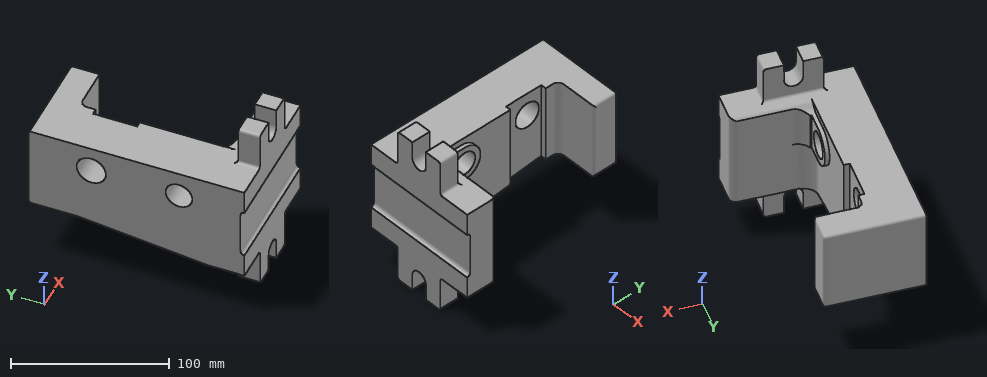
import cadquery as cq
import math

WIDTH = 90.0
LENGTH = 148.0
BODY_HEIGHT = 70.3
TIP_HEIGHT = 60.4
TAPER_START_Y = 25.2
TAPER_END_Y = 114.3
TOP_Z = BODY_HEIGHT / 2
BOTTOM_Z = -BODY_HEIGHT / 2
WALL = 35.2
ARM_REACH = 68.2
ARM_THICKNESS = 20.1
ARM_ROOT_RADIUS = 5.0
ARM_EDGE_RADIUS = 2.0
FOOT_THICKNESS = 25.2
FOOT_ROOT_RADIUS = 10.5
FOOT_END_RADIUS = 4.9

RELIEF_DEPTH = 4.1
RELIEF_START_Y = 86.9
RELIEF_END_Y = 116.9

HOLE_Z = 16.9
NEAR_HOLE_Y = 44.8
NEAR_HOLE_DIAMETER = 18.2
FAR_HOLE_Y = 105.0
FAR_HOLE_DIAMETER = 20.0

PAD_RADIUS = 13.6
PAD_HEIGHT = 3.1
PAD_TOP_Z = HOLE_Z + PAD_RADIUS
PAD_START_Y = NEAR_HOLE_Y - PAD_RADIUS
RAMP_ANGLE = math.radians(42)
CREST_RADIUS = 3.8
VALLEY_RADIUS = 7.5

TANG_SPAN = 125.0
TANG_WIDTH = 40.0
TANG_THICKNESS = 15.0
TANG_CORNER_RADIUS = 2.0
TANG_ROOT_RADIUS = 2.0
SLOT_WIDTH = 12.6
SLOT_DEPTH = 19.2

CHANNEL_WIDTH = 36.0
CHANNEL_DEPTH = 2.7
CHANNEL_RADIUS = 3.0

SELECT_MARGIN = 0.1


def extrude_x(outline, start_x, end_x):
    """Extrude a closed (Y, Z) outline from start_x to end_x."""
    return outline.extrude(end_x - start_x).translate((start_x, 0, 0))


def make_body():
    """Plan outline through the full height, trimmed to the tapered side outline."""
    arm_inner_y = LENGTH - ARM_THICKNESS
    plan = (
        cq.Workplane("XY")
        .polyline([
            (0, 0),
            (WIDTH, 0),
            (WIDTH, FOOT_THICKNESS),
            (WALL, FOOT_THICKNESS),
            (WALL, arm_inner_y),
            (ARM_REACH, arm_inner_y),
            (ARM_REACH, LENGTH),
            (0, LENGTH),
        ])
        .close()
        .extrude(BODY_HEIGHT)
        .translate((0, 0, BOTTOM_Z))
    )
    plan = round_upright_edge(plan, WIDTH, FOOT_THICKNESS, FOOT_END_RADIUS)
    plan = round_upright_edge(plan, WALL, FOOT_THICKNESS, FOOT_ROOT_RADIUS)
    plan = round_upright_edge(plan, WALL, arm_inner_y, ARM_ROOT_RADIUS)

    tip_bottom_z = TOP_Z - TIP_HEIGHT
    side = cq.Workplane("YZ").polyline([
        (0, TOP_Z),
        (LENGTH, TOP_Z),
        (LENGTH, tip_bottom_z),
        (TAPER_END_Y, tip_bottom_z),
        (TAPER_START_Y, BOTTOM_Z),
        (0, BOTTOM_Z),
    ]).close()
    body = plan.intersect(extrude_x(side, 0, WIDTH))

    relief_length = RELIEF_END_Y - RELIEF_START_Y
    relief = cq.Workplane("XY").box(RELIEF_DEPTH, relief_length, BODY_HEIGHT, centered=(False, False, True))
    body = body.cut(relief.translate((WALL - RELIEF_DEPTH, RELIEF_START_Y, 0)))

    arm_end_center = (ARM_REACH, LENGTH - ARM_THICKNESS / 2, 0)
    arm_end = body.faces(cq.selectors.NearestToPointSelector(arm_end_center))
    tip_edges = body.faces(">Y").edges("|X")
    return body.newObject(arm_end.edges().vals() + tip_edges.vals()).fillet(ARM_EDGE_RADIUS)


def round_upright_edge(solid, x, y, radius):
    """Fillet the vertical edge passing through (x, y)."""
    return solid.edges(cq.selectors.NearestToPointSelector((x, y, 0))).fillet(radius)


def cut_above_pad(solid):
    """Step the top of the foot down to the pad height along an S-shaped ramp."""
    sin_ramp = math.sin(RAMP_ANGLE)
    cos_ramp = math.cos(RAMP_ANGLE)
    sin_half = math.sin(RAMP_ANGLE / 2)
    cos_half = math.cos(RAMP_ANGLE / 2)
    valley_y = PAD_START_Y - VALLEY_RADIUS * sin_ramp
    valley_z = PAD_TOP_Z + VALLEY_RADIUS * (1 - cos_ramp)
    crest_z = TOP_Z - CREST_RADIUS * (1 - cos_ramp)
    crest_y = valley_y - (crest_z - valley_z) / math.tan(RAMP_ANGLE)
    start_y = crest_y - CREST_RADIUS * sin_ramp
    outline = (
        cq.Workplane("YZ")
        .moveTo(start_y, TOP_Z)
        .threePointArc(
            (start_y + CREST_RADIUS * sin_half, TOP_Z - CREST_RADIUS * (1 - cos_half)),
            (crest_y, crest_z),
        )
        .lineTo(valley_y, valley_z)
        .threePointArc(
            (PAD_START_Y - VALLEY_RADIUS * sin_half, PAD_TOP_Z + VALLEY_RADIUS * (1 - cos_half)),
            (PAD_START_Y, PAD_TOP_Z),
        )
        .lineTo(NEAR_HOLE_Y, PAD_TOP_Z)
        .lineTo(NEAR_HOLE_Y, TOP_Z)
        .close()
    )
    return solid.cut(extrude_x(outline, WALL, WIDTH))


def make_pad():
    """Round-ended pad reaching back to the foot."""
    pad_bottom_z = HOLE_Z - PAD_RADIUS
    outline = (
        cq.Workplane("YZ")
        .moveTo(PAD_START_Y, pad_bottom_z)
        .lineTo(NEAR_HOLE_Y, pad_bottom_z)
        .threePointArc((NEAR_HOLE_Y + PAD_RADIUS, HOLE_Z), (NEAR_HOLE_Y, PAD_TOP_Z))
        .lineTo(PAD_START_Y, PAD_TOP_Z)
        .close()
    )
    return extrude_x(outline, WALL, WALL + PAD_HEIGHT)


def make_pad_root():
    """Concave blend from the foot up to the pad, stopping at the pad's round."""
    pad_x = WALL + PAD_HEIGHT
    center_x = pad_x + FOOT_ROOT_RADIUS
    center_y = FOOT_THICKNESS + FOOT_ROOT_RADIUS
    pad_bottom_z = HOLE_Z - PAD_RADIUS
    block = cq.Workplane("XY").box(
        center_x - WALL, PAD_START_Y - FOOT_THICKNESS, TOP_Z - pad_bottom_z, centered=False
    ).translate((WALL, FOOT_THICKNESS, pad_bottom_z))
    hollow = cq.Workplane("XY").center(center_x, center_y).circle(FOOT_ROOT_RADIUS)
    return block.cut(hollow.extrude(BODY_HEIGHT, both=True))


def add_tangs(solid):
    """Tangs with rounded outer corners, filleted roots and open slots."""
    tang_bar = (
        cq.Workplane("XY")
        .box(TANG_WIDTH, TANG_THICKNESS, TANG_SPAN, centered=(True, False, True))
        .edges("|Y")
        .fillet(TANG_CORNER_RADIUS)
        .translate((WIDTH / 2, 0, 0))
    )
    solid = solid.union(tang_bar)
    half_width = TANG_WIDTH / 2 + SELECT_MARGIN
    for root_z in (TOP_Z, BOTTOM_Z):
        root_edges = cq.selectors.BoxSelector(
            (WIDTH / 2 - half_width, -SELECT_MARGIN, root_z - SELECT_MARGIN),
            (WIDTH / 2 + half_width, TANG_THICKNESS + SELECT_MARGIN, root_z + SELECT_MARGIN),
        )
        solid = solid.edges(root_edges).fillet(TANG_ROOT_RADIUS)

    slot_radius = SLOT_WIDTH / 2
    round_center_z = TANG_SPAN / 2 - SLOT_DEPTH + slot_radius
    for side in (1, -1):
        slot = (
            cq.Workplane("XZ")
            .center(WIDTH / 2, 0)
            .moveTo(-slot_radius, side * TANG_SPAN / 2)
            .lineTo(-slot_radius, side * round_center_z)
            .threePointArc((0, side * (round_center_z - slot_radius)), (slot_radius, side * round_center_z))
            .lineTo(slot_radius, side * TANG_SPAN / 2)
            .close()
            .extrude(-TANG_THICKNESS)
        )
        solid = solid.cut(slot)
    return solid


def cut_channel(solid):
    """Channel along X with concave flanks tangent to its floor."""
    half_width = CHANNEL_WIDTH / 2
    flank_width = math.sqrt(CHANNEL_RADIUS**2 - (CHANNEL_RADIUS - CHANNEL_DEPTH)**2)
    floor = half_width - flank_width
    arc_mid = CHANNEL_RADIUS * math.sqrt(0.5)
    mid_y = CHANNEL_DEPTH - CHANNEL_RADIUS + arc_mid
    outline = (
        cq.Workplane("YZ")
        .moveTo(0, half_width)
        .threePointArc((mid_y, floor + arc_mid), (CHANNEL_DEPTH, floor))
        .lineTo(CHANNEL_DEPTH, -floor)
        .threePointArc((mid_y, -floor - arc_mid), (0, -half_width))
        .close()
    )
    return solid.cut(extrude_x(outline, 0, WIDTH))


def cut_cross_holes(solid):
    """Two round holes through the wall along X."""
    for hole_y, diameter in ((NEAR_HOLE_Y, NEAR_HOLE_DIAMETER), (FAR_HOLE_Y, FAR_HOLE_DIAMETER)):
        hole = cq.Workplane("YZ").center(hole_y, HOLE_Z).circle(diameter / 2)
        solid = solid.cut(hole.extrude(WIDTH))
    return solid


body = make_body().union(make_pad_root())
body = cut_above_pad(body).union(make_pad())
body = add_tangs(body)
body = cut_channel(body)
result = cut_cross_holes(body)